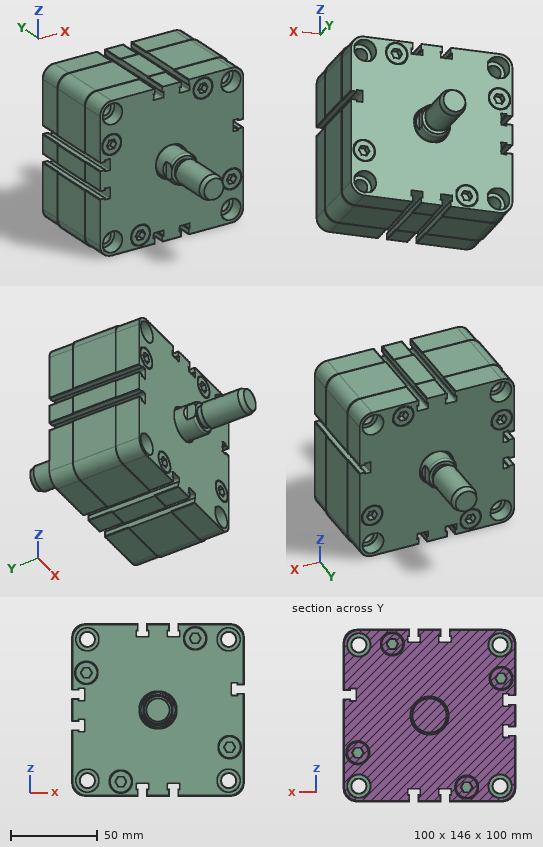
import cadquery as cq
import math


BARREL_WIDTH = 100.0
CAP_WIDTH = 99.3
CORNER_RADIUS = 8.0
FRONT_FACE_Y = -28.0
BARREL_FRONT_Y = -12.1
BARREL_REAR_Y = 17.1
REAR_FACE_Y = 33.3

SLOT_NECK_WIDTH = 5.3
SLOT_WIDE_WIDTH = 7.2
SLOT_FLOOR_LEVEL = 42.6
SLOT_SHOULDER_LEVEL = 46.1
SLOT_FLOOR_RADIUS = 0.5
SLOT_MOUTH_CHAMFER = 0.3
SLOT_OFFSET = 9.0
SINGLE_SLOT_OFFSET = 12.1

MOUNT_HOLE_OFFSET = 41.0
MOUNT_POSITIONS = [(side_x * MOUNT_HOLE_OFFSET, side_z * MOUNT_HOLE_OFFSET)
                   for side_x in (-1, 1) for side_z in (-1, 1)]
MOUNT_HOLE_DIAMETER = 8.6
MOUNT_BORE_DIAMETER = 13.5
MOUNT_BORE_DEPTH = 8.5

SCREW_OFFSET_LONG = 41.6
SCREW_OFFSET_SHORT = 21.6
SCREW_BORE_DIAMETER = 13.5
SCREW_HEAD_DIAMETER = 12.5
SCREW_HEAD_HEIGHT = 5.8
HEX_ACROSS_FLATS = 5.7
HEX_DEPTH = 4.4

ROD_LENGTH = 146.0
ROD_DIAMETER = 20.0
ROD_SHOULDER_Y = 41.3
ROD_SHOULDER_ROUND_LENGTH = 1.8
ROD_SHOULDER_ROUND_DROP = 1.2
ROD_BORE_DIAMETER = 22.0
ROD_BORE_DEPTH = 1.5
NECK_DIAMETER = 13.5
THREAD_DIAMETER = 16.0
THREAD_START_Y = 44.2
THREAD_START_CHAMFER = 0.5
THREAD_TIP_CHAMFER = 3.2
FLATS_WIDTH = 17.2
FLATS_LENGTH = 5.8


def along_y(start_y):
    """Sketch plane with local axes X and Z, extruding toward +Y from start_y."""
    return cq.Workplane(cq.Plane(origin=(0, start_y, 0), xDir=(1, 0, 0), normal=(0, 1, 0)))


def disc(diameter, start_y, end_y, x=0.0, z=0.0):
    """Round bar parallel to Y, centred on (x, z)."""
    return cq.Workplane(cq.Solid.makeCylinder(
        diameter / 2, end_y - start_y, cq.Vector(x, start_y, z), cq.Vector(0, 1, 0)))


def t_slot(angle, offset, face_level, chamfer, start_y, end_y):
    """T-slot cutter for the +Z face, turned about Y by angle degrees."""
    neck = SLOT_NECK_WIDTH / 2
    length = end_y - start_y
    middle_y = (start_y + end_y) / 2

    def box(width, low, high):
        return (cq.Workplane("XY")
                .box(width, length, high - low)
                .translate((offset, middle_y, (low + high) / 2)))

    head = (box(SLOT_WIDE_WIDTH, SLOT_FLOOR_LEVEL, SLOT_SHOULDER_LEVEL)
            .edges("|Y and <Z").fillet(SLOT_FLOOR_RADIUS))
    cutter = head.union(box(SLOT_NECK_WIDTH, SLOT_FLOOR_LEVEL, face_level))
    if chamfer > 0:
        mouth = (cq.Workplane("XZ", origin=(offset, end_y, face_level))
                 .polyline([(-neck - chamfer, 0), (neck + chamfer, 0),
                            (neck, -chamfer), (-neck, -chamfer)])
                 .close().extrude(length))
        cutter = cutter.union(mouth)
    return cutter.rotate((0, 0, 0), (0, 1, 0), angle)


def body_section(width, start_y, end_y, top_chamfer):
    """One slotted length of the body; the side slots always have chamfered mouths."""
    section = (cq.Workplane("XY")
               .box(width, end_y - start_y, width)
               .translate((0, (start_y + end_y) / 2, 0))
               .edges("|Y").fillet(CORNER_RADIUS))
    slots = [(90, -SINGLE_SLOT_OFFSET, SLOT_MOUTH_CHAMFER)]
    for offset in (-SLOT_OFFSET, SLOT_OFFSET):
        slots += [(0, offset, top_chamfer), (180, offset, top_chamfer), (-90, offset, SLOT_MOUTH_CHAMFER)]
    for angle, offset, chamfer in slots:
        section = section.cut(t_slot(angle, offset, width / 2, chamfer, start_y, end_y))
    return section


def end_recesses(face_y, inward):
    """Corner counterbores and rod bore of one end face; inward is +1 or -1 along Y."""
    def recess(diameter, depth, x=0.0, z=0.0):
        ends = sorted((face_y, face_y + inward * depth))
        return disc(diameter, ends[0], ends[1], x, z)

    cutter = recess(ROD_BORE_DIAMETER, ROD_BORE_DEPTH)
    for x, z in MOUNT_POSITIONS:
        cutter = cutter.union(recess(MOUNT_BORE_DIAMETER, MOUNT_BORE_DEPTH, x, z))
    return cutter


def screw_recesses(face_y, inward):
    """Cutters for the ring gaps and hexagon sockets of the four screws in one end face."""
    ends = sorted((face_y, face_y + inward * SCREW_HEAD_HEIGHT))
    gap = disc(SCREW_BORE_DIAMETER, *ends).cut(disc(SCREW_HEAD_DIAMETER, *ends))
    across_corners = HEX_ACROSS_FLATS / math.cos(math.pi / 6)
    socket = along_y(face_y).polygon(6, across_corners).extrude(inward * HEX_DEPTH)
    screw = gap.union(socket)

    long, short = SCREW_OFFSET_LONG, SCREW_OFFSET_SHORT
    cutters = []
    for x, z in ((short, long), (-long, short), (-short, -long), (long, -short)):
        cutters.append(screw.translate((x, 0, z)))
    return cutters


def make_rod():
    """Whole rod: a turned profile with two wrench flats at each shoulder."""
    tip_y = ROD_LENGTH / 2
    rod_r = ROD_DIAMETER / 2
    neck_r = NECK_DIAMETER / 2
    thread_r = THREAD_DIAMETER / 2
    half = (cq.Workplane("XY")
            .lineTo(rod_r, 0)
            .lineTo(rod_r, ROD_SHOULDER_Y - ROD_SHOULDER_ROUND_LENGTH)
            .tangentArcPoint((rod_r - ROD_SHOULDER_ROUND_DROP, ROD_SHOULDER_Y), relative=False)
            .lineTo(neck_r, ROD_SHOULDER_Y)
            .lineTo(neck_r, THREAD_START_Y)
            .lineTo(thread_r, THREAD_START_Y + THREAD_START_CHAMFER)
            .lineTo(thread_r, tip_y - THREAD_TIP_CHAMFER)
            .lineTo(neck_r, tip_y)
            .lineTo(0, tip_y)
            .close()
            .revolve(360, (0, 0, 0), (0, 1, 0)))

    flat_x = FLATS_WIDTH / 2
    ramp = rod_r - flat_x
    flat_y = ROD_SHOULDER_Y - FLATS_LENGTH
    flat = (cq.Workplane("XY")
            .polyline([(flat_x, ROD_SHOULDER_Y), (flat_x, flat_y),
                       (rod_r, flat_y - ramp), (rod_r, ROD_SHOULDER_Y)])
            .close().extrude(rod_r, both=True))
    half = half.cut(flat).cut(flat.mirror("YZ"))
    return half.union(half.mirror("XZ"))


body = (body_section(BARREL_WIDTH, BARREL_FRONT_Y, BARREL_REAR_Y, 0)
        .union(body_section(CAP_WIDTH, FRONT_FACE_Y, BARREL_FRONT_Y, SLOT_MOUTH_CHAMFER))
        .union(body_section(CAP_WIDTH, BARREL_REAR_Y, REAR_FACE_Y, SLOT_MOUTH_CHAMFER)))

for hole_x, hole_z in MOUNT_POSITIONS:
    body = body.cut(disc(MOUNT_HOLE_DIAMETER, FRONT_FACE_Y, REAR_FACE_Y, hole_x, hole_z))

for end_y, into_body in ((FRONT_FACE_Y, 1), (REAR_FACE_Y, -1)):
    body = body.cut(end_recesses(end_y, into_body))
    for screw_cutter in screw_recesses(end_y, into_body):
        body = body.cut(screw_cutter)

result = body.union(make_rod())